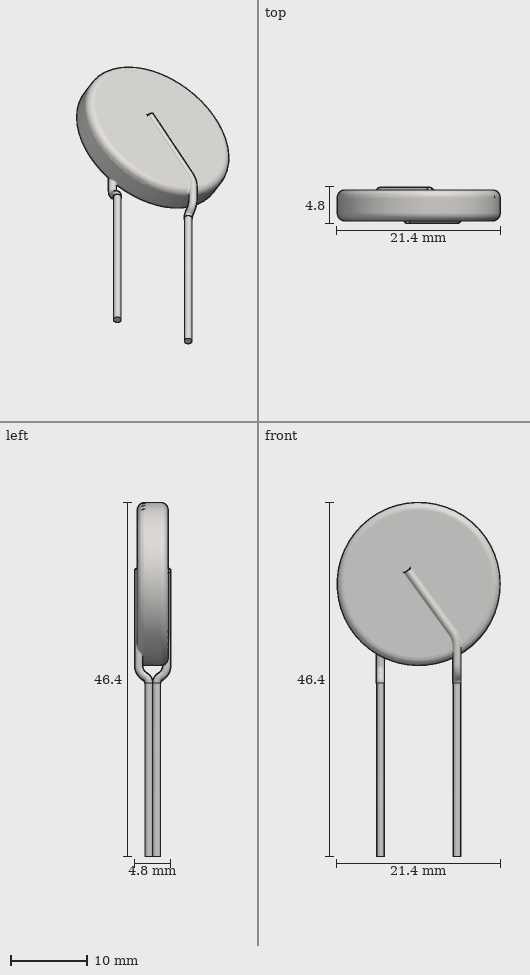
import cadquery as cq
import math


total_height = 46.4
total_depth = 4.8

disc_dia = 21.4
disc_thickness = 4.1
disc_edge_radius = 1.0

wire_dia = 1.0
sleeve_dia = 1.1
sleeve_root_radius = 0.2
lead_spacing = 10.0

kink_angle = math.radians(60)
upper_kink_radius = 1.65
slant_angle = math.radians(36)
elbow_radius = 3.0
tip_x = -1.5
tip_z = 1.75

disc_radius = disc_dia / 2
lead_end_z = disc_radius - total_height
sleeve_wall = (sleeve_dia - wire_dia) / 2
lead_x = lead_spacing / 2
face_run_y = -(total_depth - sleeve_dia) / 2
straight_run_y = -wire_dia / 2

kink_step = straight_run_y - face_run_y
lower_kink_radius = kink_step / (1 - math.cos(kink_angle)) - upper_kink_radius
kink_top_z = -disc_radius
kink_mid_z = kink_top_z - upper_kink_radius * math.sin(kink_angle)
kink_bottom_z = kink_mid_z - lower_kink_radius * math.sin(kink_angle)

corner_z = tip_z - (lead_x - tip_x) / math.tan(slant_angle)
elbow_tangent = elbow_radius * math.tan(slant_angle / 2)
elbow_bottom_z = corner_z - elbow_tangent


def upper_kink_point(angle):
    """Point on the upper kink arc after it has turned by the given angle."""
    y = face_run_y + upper_kink_radius * (1 - math.cos(angle))
    return cq.Vector(lead_x, y, kink_top_z - upper_kink_radius * math.sin(angle))


def lower_kink_point(angle):
    """Point on the lower kink arc where it still has the given angle to turn."""
    y = straight_run_y - lower_kink_radius * (1 - math.cos(angle))
    return cq.Vector(lead_x, y, kink_bottom_z + lower_kink_radius * math.sin(angle))


def elbow_point(angle):
    """Point on the elbow arc after it has turned by the given angle."""
    x = lead_x - elbow_radius * (1 - math.cos(angle))
    return cq.Vector(x, face_run_y, elbow_bottom_z + elbow_radius * math.sin(angle))


def arc(point_at, start_angle, end_angle):
    """Arc edge through three points of a bend."""
    middle_angle = (start_angle + end_angle) / 2
    return cq.Edge.makeThreePointArc(point_at(start_angle), point_at(middle_angle), point_at(end_angle))


def front_rod(diameter, bottom_z, tip_setback):
    """Round rod along the front lead's axis, from bottom_z up to its tip on the disc face."""
    bottom = cq.Vector(lead_x, straight_run_y, bottom_z)
    tip = cq.Vector(
        tip_x + tip_setback * math.sin(slant_angle),
        face_run_y,
        tip_z - tip_setback * math.cos(slant_angle),
    )
    edges = [
        arc(lower_kink_point, 0, kink_angle),
        arc(upper_kink_point, kink_angle, 0),
        cq.Edge.makeLine(upper_kink_point(0), elbow_point(0)),
        arc(elbow_point, 0, slant_angle),
        cq.Edge.makeLine(elbow_point(slant_angle), tip),
    ]
    if bottom_z < kink_bottom_z:
        edges.insert(0, cq.Edge.makeLine(bottom, lower_kink_point(0)))
    path = cq.Wire.assembleEdges(edges)
    profile = cq.Workplane("XY", origin=bottom.toTuple()).circle(diameter / 2)
    return profile.sweep(cq.Workplane(path))


def both_leads(rod):
    """The front rod and its copy turned half way round the Z axis for the back face."""
    return [rod.rotate((0, 0, 0), (0, 0, 1), turn) for turn in (0, 180)]


def make_leads():
    """Two wires, each running inside its sleeve and stopping one wall short of the sleeve tip."""
    return both_leads(front_rod(wire_dia, lead_end_z, sleeve_wall))


def make_coating(leads):
    """Round-edged disc with a sleeve over the top of each lead, hollowed to fit the wires."""
    coating = (
        cq.Workplane("XZ", origin=(0, disc_thickness / 2, 0))
        .circle(disc_radius)
        .extrude(disc_thickness)
        .edges("%CIRCLE")
        .fillet(disc_edge_radius)
    )
    for sleeve in both_leads(front_rod(sleeve_dia, kink_bottom_z, 0)):
        coating = coating.union(sleeve)
    coating = coating.faces("|Y").edges("%LINE").fillet(sleeve_root_radius)
    for lead in leads:
        coating = coating.cut(lead)
    return coating.solids()


leads = make_leads()
coating = make_coating(leads)

result = cq.Compound.makeCompound([coating.val(), *[lead.val() for lead in leads]])